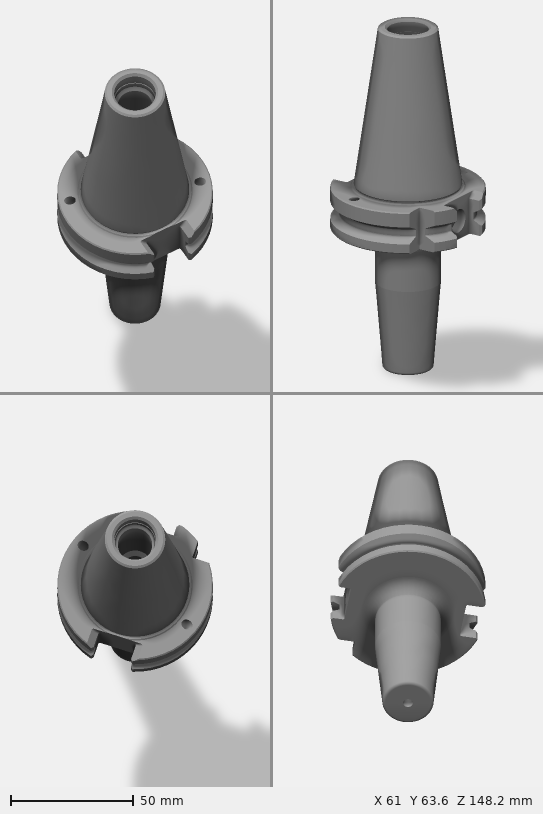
import cadquery as cq
import math


gauge_radius = 44.45 / 2
taper_ratio = 7 / 24
shank_top = 68.25
shank_tip_radius = gauge_radius - shank_top * taper_ratio / 2
tip_chamfer_radial = 0.8
tip_chamfer_axial = 0.6

taper_end = 0.3
undercut_radius = 21.8
undercut_top = -0.1
collar_radius = 23.5
collar_chamfer = 0.5
collar_top = -0.6

flange_radius = 63.55 / 2
flange_top = -1.0
flange_bottom = -19.1
flange_edge = 0.5
groove_center = -11.1
groove_floor_radius = 56.25 / 2
groove_floor_half = 1.6
groove_flank_angle = 30
groove_floor_fillet = 0.5
groove_depth = flange_radius - groove_floor_radius
groove_mouth_half = groove_floor_half + groove_depth * math.tan(math.radians(groove_flank_angle))

nose_bottom = -80.0
nose_radius = 13.5
nose_relief = 0.1
nose_blend = 5.0
nose_relief_length = 0.9
nose_cone_start = -42.3
nose_tip_radius = 10.5
nose_tip_round = 1.3

bore_mouth_radius = 9.5
bore_guide_radius = 8.5
bore_guide_depth = 5.3
thread_relief_radius = 8.25
thread_relief_depth = 7.7
thread_core_radius = 7.0
thread_core_depth = 42.0
step_radius = 5.0
step_length = 5.0
coolant_radius = 2.0
drill_point_angle = 118

slot_half_width = 16.1 / 2
slot_floor_left = 25.0
slot_floor_right = 22.8
slot_lead_in = 2.85
slot_floor_fillet = 0.7
slot_mouth_chamfer = 0.9

notch_x = -18.5
notch_y = 18.5

chip_radius = 5.0
chip_depth = 4.6
chip_pilot_radius = 1.6
chip_pilot_depth = 1.5
chip_center_radius = 0.8
chip_center_depth = 3.0

flange_hole_radius = 2.0
flange_hole_pitch_radius = 27.0
flange_hole_angles = (70, 250)
flange_hole_tilt = 33
flange_hole_depth = 10.0

OVERSHOOT = 5.0


def make_body():
    """Revolve the complete outer profile, from the shank tip down to the nose, and round the groove floor."""
    blend_radius = nose_radius - nose_relief
    blend_end = flange_bottom - nose_blend
    blend_mid = nose_blend * (1 - math.sqrt(0.5))
    taper_end_radius = gauge_radius - taper_end * taper_ratio / 2
    chamfer_radius = shank_tip_radius + tip_chamfer_axial * taper_ratio / 2
    profile = (
        cq.Workplane("XZ")
        .moveTo(0, shank_top)
        .lineTo(shank_tip_radius - tip_chamfer_radial, shank_top)
        .lineTo(chamfer_radius, shank_top - tip_chamfer_axial)
        .lineTo(taper_end_radius, taper_end)
        .lineTo(undercut_radius, undercut_top)
        .lineTo(undercut_radius, collar_top)
        .lineTo(collar_radius - collar_chamfer, collar_top)
        .lineTo(collar_radius, flange_top)
        .lineTo(flange_radius - flange_edge, flange_top)
        .lineTo(flange_radius, flange_top - flange_edge)
        .lineTo(flange_radius, groove_center + groove_mouth_half)
        .lineTo(groove_floor_radius, groove_center + groove_floor_half)
        .lineTo(groove_floor_radius, groove_center - groove_floor_half)
        .lineTo(flange_radius, groove_center - groove_mouth_half)
        .lineTo(flange_radius, flange_bottom + flange_edge)
        .lineTo(flange_radius - flange_edge, flange_bottom)
        .lineTo(blend_radius + nose_blend, flange_bottom)
        .threePointArc((blend_radius + blend_mid, flange_bottom - blend_mid), (blend_radius, blend_end))
        .lineTo(nose_radius, blend_end - nose_relief_length)
        .lineTo(nose_radius, nose_cone_start)
        .lineTo(nose_tip_radius, nose_bottom + nose_tip_round)
        .radiusArc((nose_tip_radius - nose_tip_round, nose_bottom), nose_tip_round)
        .lineTo(0, nose_bottom)
        .close()
    )
    body = profile.revolve(360, (0, 0, 0), (0, 1, 0))
    reach = (groove_floor_radius + flange_radius) / 2
    floor_box = cq.selectors.BoxSelector(
        (-reach, -reach, groove_center - groove_floor_half - groove_floor_fillet),
        (reach, reach, groove_center + groove_floor_half + groove_floor_fillet),
        boundingbox=True,
    )
    return body.edges("%CIRCLE").edges(floor_box).fillet(groove_floor_fillet)


def make_bore():
    """Stepped pull-stud bore with drill-point shoulders and a coolant hole right through."""
    mouth_chamfer = bore_mouth_radius - bore_guide_radius
    core_chamfer = thread_relief_radius - thread_core_radius
    core_bottom = shank_top - thread_core_depth
    point_slope = 1 / math.tan(math.radians(drill_point_angle / 2))
    step_top = core_bottom - (thread_core_radius - step_radius) * point_slope
    step_bottom = step_top - step_length
    point_bottom = step_bottom - (step_radius - coolant_radius) * point_slope
    profile = (
        cq.Workplane("XZ")
        .moveTo(0, shank_top)
        .lineTo(bore_mouth_radius, shank_top)
        .lineTo(bore_guide_radius, shank_top - mouth_chamfer)
        .lineTo(bore_guide_radius, shank_top - bore_guide_depth)
        .lineTo(thread_relief_radius, shank_top - bore_guide_depth)
        .lineTo(thread_relief_radius, shank_top - thread_relief_depth)
        .lineTo(thread_core_radius, shank_top - thread_relief_depth - core_chamfer)
        .lineTo(thread_core_radius, core_bottom)
        .lineTo(step_radius, step_top)
        .lineTo(step_radius, step_bottom)
        .lineTo(coolant_radius, point_bottom)
        .lineTo(coolant_radius, nose_bottom)
        .lineTo(0, nose_bottom)
        .close()
    )
    return profile.revolve(360, (0, 0, 0), (0, 1, 0))


def make_slot(side, floor):
    """Drive slot on the +X (side = 1) or -X (side = -1) edge of the flange."""
    length = flange_radius + OVERSHOOT - floor
    lead_bottom = flange_top - slot_lead_in
    lead_half_width = slot_half_width + collar_top - lead_bottom
    channel = (
        cq.Workplane("YZ", origin=(side * floor, 0, 0))
        .polyline([
            (-slot_half_width, flange_bottom),
            (slot_half_width, flange_bottom),
            (slot_half_width, lead_bottom),
            (lead_half_width, collar_top),
            (-lead_half_width, collar_top),
            (-slot_half_width, lead_bottom),
        ])
        .close()
        .extrude(side * length)
    )
    floor_face = ">X" if side < 0 else "<X"
    floor_sides = channel.faces(floor_face).edges("not(<Z or >Z)")
    return floor_sides.fillet(slot_floor_fillet)


def make_slot_mouth(side):
    """Wedge that chamfers the vertical edges where a slot meets the flange rim."""
    rim_x = math.sqrt(flange_radius**2 - (slot_half_width + slot_mouth_chamfer) ** 2)
    inner_x = rim_x - slot_mouth_chamfer
    outer_x = rim_x + OVERSHOOT
    outer_half = slot_half_width + slot_mouth_chamfer + OVERSHOOT
    return (
        cq.Workplane("XY", origin=(0, 0, flange_bottom))
        .polyline([
            (side * inner_x, -slot_half_width),
            (side * outer_x, -outer_half),
            (side * outer_x, outer_half),
            (side * inner_x, slot_half_width),
        ])
        .close()
        .extrude(flange_top - flange_bottom)
    )


def make_notch():
    """Square corner notch through the full height of the flange."""
    size = flange_radius
    height = flange_top - flange_bottom
    corner = (notch_x - size, notch_y, flange_bottom)
    return cq.Workplane("XY", origin=corner).rect(size, size, centered=False).extrude(height)


def make_chip_pocket():
    """Round pocket with a small stepped centre hole, sunk into the floor of the -X slot."""
    mouth = cq.Workplane("YZ", origin=(-slot_floor_left, 0, groove_center))
    pocket = mouth.circle(chip_radius).extrude(chip_depth)
    pilot = mouth.circle(chip_pilot_radius).extrude(chip_depth + chip_pilot_depth)
    center = mouth.circle(chip_center_radius).extrude(chip_depth + chip_center_depth)
    return pocket.union(pilot).union(center)


def make_flange_hole(angle):
    """Blind coolant hole that leans toward the axis as it goes down."""
    around = math.radians(angle)
    tilt = math.radians(flange_hole_tilt)
    outward = (math.cos(around), math.sin(around))
    down = cq.Vector(-math.sin(tilt) * outward[0], -math.sin(tilt) * outward[1], -math.cos(tilt))
    mouth = cq.Vector(
        flange_hole_pitch_radius * outward[0],
        flange_hole_pitch_radius * outward[1],
        flange_top,
    )
    start = mouth - down * OVERSHOOT
    return cq.Solid.makeCylinder(flange_hole_radius, OVERSHOOT + flange_hole_depth, start, down)


result = make_body().cut(make_bore())
for slot_side, slot_floor in ((-1, slot_floor_left), (1, slot_floor_right)):
    result = result.cut(make_slot(slot_side, slot_floor))
    result = result.cut(make_slot_mouth(slot_side))
result = result.cut(make_notch())
result = result.cut(make_chip_pocket())
for hole_angle in flange_hole_angles:
    result = result.cut(make_flange_hole(hole_angle))